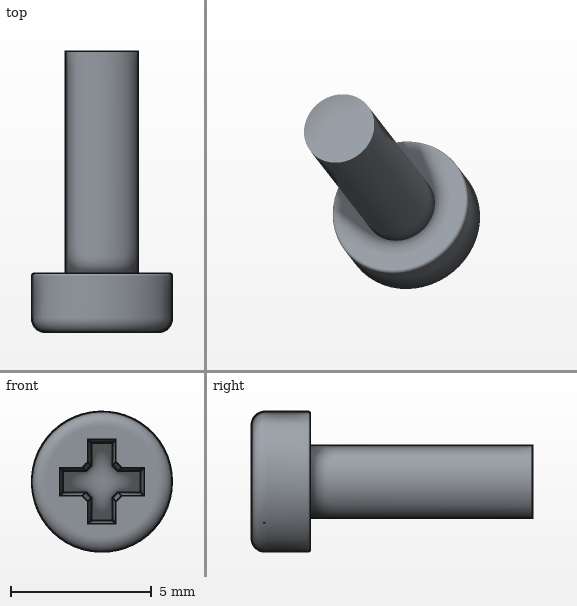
import cadquery as cq

total_length = 10.0
head_diameter = 5.0
head_length = 2.1
shank_diameter = 2.6
front_round = 0.5
back_round = 0.1

recess_span = 3.0
recess_arm_width = 1.0
recess_depth = 1.5
recess_inset = 0.13
corner_cut = 0.2


def cylinder_along_y(diameter, start, length):
    """Cylinder on the screw axis, from Y = start towards +Y."""
    plane = cq.Plane(origin=(0, start, 0), xDir=(1, 0, 0), normal=(0, 1, 0))
    return cq.Workplane(plane).circle(diameter / 2).extrude(length)


def cross_points(inset):
    """Cross outline shrunk by inset, with its four inner corners cut off."""
    reach = recess_span / 2 - inset
    half_width = recess_arm_width / 2 - inset
    cut_start = half_width + corner_cut
    arm = [
        (cut_start, -half_width),
        (reach, -half_width),
        (reach, half_width),
        (cut_start, half_width),
    ]
    points = []
    for _ in range(4):
        points += arm
        arm = [(-v, u) for u, v in arm]
    return points


def make_head():
    head = cylinder_along_y(head_diameter, 0, head_length)
    head = head.faces("<Y").edges().fillet(front_round)
    return head.faces(">Y").edges().fillet(back_round)


def make_recess():
    mouth_plane = cq.Plane(origin=(0, 0, 0), xDir=(1, 0, 0), normal=(0, -1, 0))
    return (
        cq.Workplane(mouth_plane)
        .polyline(cross_points(0)).close()
        .workplane(offset=-recess_depth)
        .polyline(cross_points(recess_inset)).close()
        .loft(ruled=True, combine=True)
    )


shank = cylinder_along_y(shank_diameter, head_length, total_length - head_length)
result = make_head().union(shank).cut(make_recess())